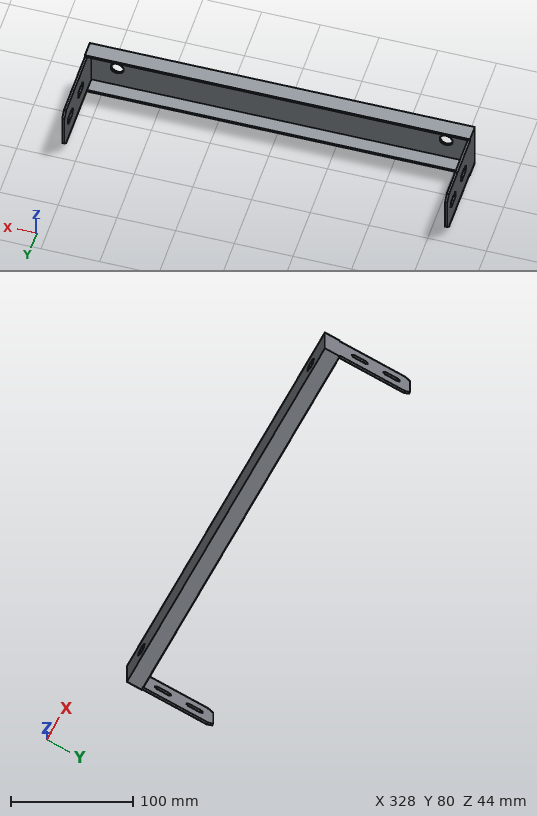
import cadquery as cq

length = 328.0
depth = 80.0
height = 44.0
sheet = 2.0
flange_depth = 14.0
hole_diameter = 11.0
hole_end_distance = 24.0
tab_chamfer = 5.0
slot_length = 15.0
slot_width = 7.0
slot_rear_distance = 17.5
slot_pitch = 30.0

tab_height = height - 2 * sheet
slot_centers = [
    depth - slot_rear_distance,
    depth - slot_rear_distance - slot_pitch,
]


def make_channel():
    """Front web with a top and a bottom flange, open towards +Y."""
    outside = cq.Workplane("XY").box(length, flange_depth, height, centered=(True, False, True))
    inside = (
        cq.Workplane("XY")
        .box(length, flange_depth - sheet, tab_height, centered=(True, False, True))
        .translate((0, sheet, 0))
    )
    return outside.cut(inside)


def make_tab(outer_x, inward):
    """Slotted end tab that fits between the flanges and reaches back to full depth."""
    tab = (
        cq.Workplane("YZ", origin=(outer_x, 0, 0))
        .rect(depth, tab_height)
        .extrude(inward * sheet)
        .translate((0, depth / 2, 0))
        .edges("|X and >Y")
        .chamfer(tab_chamfer)
    )
    slots = (
        cq.Workplane("YZ", origin=(outer_x, 0, 0))
        .pushPoints([(y, 0) for y in slot_centers])
        .slot2D(slot_length, slot_width)
        .extrude(inward * sheet)
    )
    return tab.cut(slots)


def make_web_holes():
    """Cutters for the two round holes through the front web."""
    hole_x = length / 2 - hole_end_distance
    return (
        cq.Workplane("XZ")
        .pushPoints([(-hole_x, 0), (hole_x, 0)])
        .circle(hole_diameter / 2)
        .extrude(-sheet)
    )


result = make_channel()
for side in (-1, 1):
    result = result.union(make_tab(side * length / 2, -side))
result = result.cut(make_web_holes())